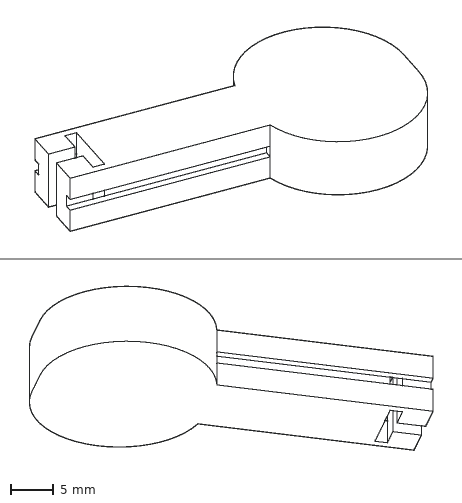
import cadquery as cq
import math

length = 47.1
head_width = 25.2
thickness = 7.5

head_radius = 10.6
head_center_y = length - head_radius

handle_width = 9.5
groove_depth = 1.0
groove_height = 1.5

round_end_x = head_width / 2 - head_radius
corner_offset_x = handle_width / 2 - round_end_x
handle_end_y = head_center_y - math.sqrt(head_radius**2 - corner_offset_x**2)

slot_neck_width = 2.1
slot_bar_width = handle_width - 2 * groove_depth
slot_bar_start = 3.5
slot_bar_length = 1.5


def make_head():
    """Flat head with a stadium outline, long along X."""
    return (
        cq.Workplane("XY")
        .center(0, head_center_y)
        .slot2D(head_width, 2 * head_radius)
        .extrude(thickness)
    )


def box_along_y(width, start_y, end_y, height, bottom_z=0):
    """Box centred on X, running from start_y to end_y."""
    return (
        cq.Workplane("XY")
        .box(width, end_y - start_y, height, centered=(True, False, False))
        .translate((0, start_y, bottom_z))
    )


def cut_side_grooves(body):
    """Cut a groove along each side of the handle, ending flat where it meets the head."""
    groove = box_along_y(
        groove_depth, 0, handle_end_y, groove_height, (thickness - groove_height) / 2
    )
    groove_x = (handle_width - groove_depth) / 2
    for side in (-1, 1):
        body = body.cut(groove.translate((side * groove_x, 0, 0)))
    return body


def make_end_slot():
    """T-shaped opening through the full thickness."""
    slot_end = slot_bar_start + slot_bar_length
    neck = box_along_y(slot_neck_width, 0, slot_end, thickness)
    bar = box_along_y(slot_bar_width, slot_bar_start, slot_end, thickness)
    return neck.union(bar)


handle = box_along_y(handle_width, 0, head_center_y, thickness)
body = cut_side_grooves(handle.union(make_head()))
result = body.cut(make_end_slot())